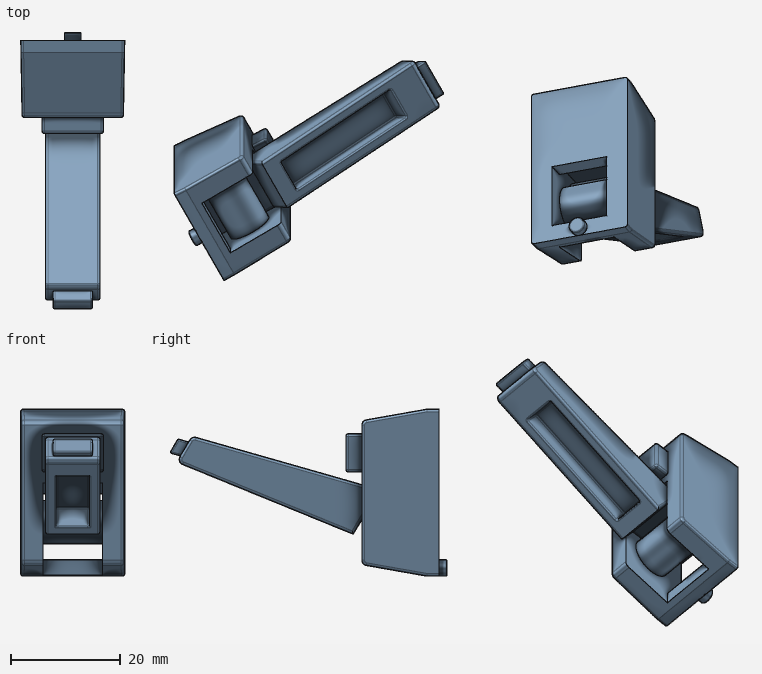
import cadquery as cq
import math


HOUSING_WIDTH = 19.0
HOUSING_HEIGHT = 30.5
HOUSING_DEPTH = 14.1
STRAIGHT_DEPTH = 2.2
END_SLOPE = 10
SIDE_DRAFT = 1
FRONT_RADIUS = 1.0
EDGE_RADIUS = 0.5

SLOT_WIDTH = 10.8
SLOT_TOP = 17.0
BACK_WALL = 3.55
WINDOW_BOTTOM = 3.0
WINDOW_TOP = 15.0

BLOCK_WIDTH = 11.25
BLOCK_HEIGHT = 7.0
BLOCK_BOTTOM = 19.0
BLOCK_LENGTH = 2.9

PEG_DIAMETER = 3.0
PEG_LENGTH = 1.4
PEG_EDGE_RADIUS = 0.2

ARM_WIDTH = 10.0
HEEL = (15.7, 7.65)
TOE = (47.9, 20.8)
END_ANGLE = 59.4
TOP_ANGLE = 15.9
TIP_LENGTH = 5.5
TIP_RADIUS = 1.0

HUB_RADIUS = 4.0
HUB_CENTER = (7.55, 9.9)

NECK_OFFSET = 2.5
NECK_BOTTOM = HUB_CENTER[1] + NECK_OFFSET

NUB_WIDTH = 7.15
NUB_LENGTH = 2.0
NUB_ROOT = 1.0
NUB_HEIGHT = 2.95
NUB_TOP_MARGIN = 1.2
NUB_EDGE_RADIUS = 0.3

POCKET_WIDTH = 6.05
POCKET_REAR_HEIGHT = 8.9
POCKET_FRONT_HEIGHT = 18.25
POCKET_RISE = 3.65
POCKET_RADIUS = 0.3


def extrude_side_profile(points, width):
    """Extrude a (forward, height) outline to a width centred on X = 0."""
    outline = [(-forward, height) for forward, height in points]
    return cq.Workplane("YZ").polyline(outline).close().extrude(width / 2, both=True)


def moved(point, distance, angle):
    """Point at a distance from another, at an angle above the forward direction."""
    turn = math.radians(angle)
    return (point[0] + distance * math.cos(turn), point[1] + distance * math.sin(turn))


def crossing(start, start_angle, other, other_angle):
    """Point where the lines through two points, at the given angles, cross."""
    turn = math.radians(start_angle - other_angle)
    aim = math.radians(other_angle)
    forward = other[0] - start[0]
    height = other[1] - start[1]
    distance = (height * math.cos(aim) - forward * math.sin(aim)) / math.sin(turn)
    return moved(start, distance, start_angle)


REAR_ANGLE = 180 - END_ANGLE
TIP_TOP = moved(TOE, TIP_LENGTH, REAR_ANGLE)
UNDERSIDE_SLOPE = math.atan2(TOE[1] - HEEL[1], TOE[0] - HEEL[0])


def centered_box(width, back, front, bottom, top):
    """Box centred on X = 0, between two distances forward of the back and two heights."""
    outline = [(back, bottom), (front, bottom), (front, top), (back, top)]
    return extrude_side_profile(outline, width)


def fillet_side_edges(body):
    """Round the edges of the two side faces, except any that lie on the rearmost plane."""
    rims = [body.faces(side).edges("not(>Y)").objects for side in ("<X", ">X")]
    return body.newObject(rims[0] + rims[1]).fillet(EDGE_RADIUS)


def make_shell():
    """Solid outer form of the housing, tapered towards the front."""
    slope_drop = (HOUSING_DEPTH - STRAIGHT_DEPTH) * math.tan(math.radians(END_SLOPE))
    side_outline = [
        (0, 0),
        (STRAIGHT_DEPTH, 0),
        (HOUSING_DEPTH, slope_drop),
        (HOUSING_DEPTH, HOUSING_HEIGHT - slope_drop),
        (STRAIGHT_DEPTH, HOUSING_HEIGHT),
        (0, HOUSING_HEIGHT),
    ]
    back_half = HOUSING_WIDTH / 2
    front_half = back_half - HOUSING_DEPTH * math.tan(math.radians(SIDE_DRAFT))
    plan_outline = [
        (-back_half, 0),
        (back_half, 0),
        (front_half, -HOUSING_DEPTH),
        (-front_half, -HOUSING_DEPTH),
    ]
    plan = cq.Workplane("XY").polyline(plan_outline).close().extrude(HOUSING_HEIGHT)
    shell = extrude_side_profile(side_outline, HOUSING_WIDTH).intersect(plan)
    shell = shell.faces("<Y").edges("|X").fillet(FRONT_RADIUS)
    return fillet_side_edges(shell)


def make_block():
    block = centered_box(
        BLOCK_WIDTH,
        HOUSING_DEPTH,
        HOUSING_DEPTH + BLOCK_LENGTH,
        BLOCK_BOTTOM,
        BLOCK_BOTTOM + BLOCK_HEIGHT,
    )
    return block.edges("|Y or <Y").fillet(EDGE_RADIUS)


def make_peg():
    radius = PEG_DIAMETER / 2
    peg = cq.Workplane("XZ").center(0, radius).circle(radius).extrude(-PEG_LENGTH)
    return peg.faces(">Y").edges().fillet(PEG_EDGE_RADIUS)


def make_housing():
    slot = centered_box(SLOT_WIDTH, BACK_WALL, HOUSING_DEPTH, 0, SLOT_TOP)
    window = centered_box(SLOT_WIDTH, 0, BACK_WALL, WINDOW_BOTTOM, WINDOW_TOP)
    return make_shell().cut(slot).cut(window).union(make_block()).union(make_peg())


def make_arm():
    """Tapered arm with its neck, rounded at the tip and along both sides."""
    neck_front = crossing(HEEL, REAR_ANGLE, (0, NECK_BOTTOM), 0)
    neck_top = crossing(HUB_CENTER, 90, TIP_TOP, TOP_ANGLE)
    outline = [HEEL, TOE, TIP_TOP, neck_top, (HUB_CENTER[0], NECK_BOTTOM), neck_front]
    arm = extrude_side_profile(outline, ARM_WIDTH)
    arm = arm.faces("<Y").edges("|X").fillet(TIP_RADIUS)
    return fillet_side_edges(arm)


def make_nub():
    """Nub that leans along the upper face, its root sunk into the arm."""
    upper = moved(TIP_TOP, NUB_TOP_MARGIN, -END_ANGLE)
    lower = moved(upper, NUB_HEIGHT, -END_ANGLE)
    outline = [
        moved(upper, -NUB_ROOT, TOP_ANGLE),
        moved(lower, -NUB_ROOT, TOP_ANGLE),
        moved(lower, NUB_LENGTH, TOP_ANGLE),
        moved(upper, NUB_LENGTH, TOP_ANGLE),
    ]
    return extrude_side_profile(outline, NUB_WIDTH).edges("not(>Y)").fillet(NUB_EDGE_RADIUS)


def cut_pocket(arm):
    """Cut the pocket, with end walls parallel to the tip face, and round its edges."""
    openings = [
        moved(HEEL, (height - HEEL[1]) / math.sin(UNDERSIDE_SLOPE), math.degrees(UNDERSIDE_SLOPE))
        for height in (POCKET_REAR_HEIGHT, POCKET_FRONT_HEIGHT)
    ]
    depth = POCKET_RISE / math.sin(math.radians(END_ANGLE))
    rear_low, front_low = [moved(point, -depth, REAR_ANGLE) for point in openings]
    rear_high, front_high = [moved(point, depth, REAR_ANGLE) for point in openings]
    cutter = extrude_side_profile([rear_low, front_low, front_high, rear_high], POCKET_WIDTH)
    cutter = cutter.edges().fillet(POCKET_RADIUS)
    arm = arm.cut(cutter)
    underside_normal = cq.Vector(0, -math.sin(UNDERSIDE_SLOPE), -math.cos(UNDERSIDE_SLOPE))
    underside = arm.faces(cq.selectors.DirectionMinMaxSelector(underside_normal)).val()
    return arm.newObject(underside.innerWires()[0].Edges()).fillet(POCKET_RADIUS)


def make_hub():
    side_plane = cq.Workplane("YZ").center(-HUB_CENTER[0], HUB_CENTER[1])
    return side_plane.circle(HUB_RADIUS).extrude(SLOT_WIDTH / 2, both=True)


def make_lever():
    return cut_pocket(make_arm()).union(make_nub()).union(make_hub())


housing = make_housing()
lever = make_lever()
result = cq.Compound.makeCompound([housing.solids().val(), lever.solids().val()])